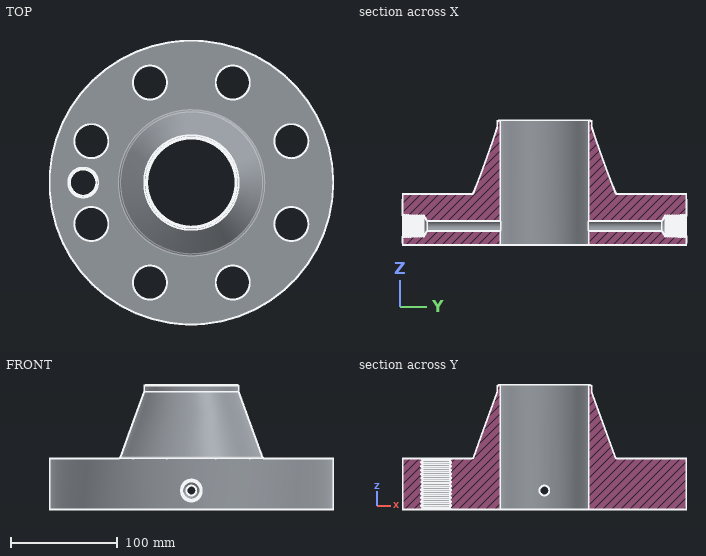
import cadquery as cq
import math

flange_diameter = 266.7
flange_thickness = 48.0

overall_height = 117.3
neck_radius = 44.5
bore_radius = 41.3
neck_straight_length = 7.0
hub_base_radius = 67.2
hub_fillet_radius = 2.1
weld_land_width = 1.3
weld_bevel_height = 1.0

bolt_circle_radius = 101.5
bolt_hole_diameter = 31.7
bolt_hole_count = 8

jack_major_radius = 14.1
jack_minor_radius = 12.3
jack_thread_turns = 13

tap_height = 18.0
tap_major_radius = 10.5
tap_thread_height = 1.3
tap_thread_depth = 20.0
tap_thread_turns = 11
tap_taper = 1 / 32
tap_bore_radius = 4.5
drill_point_half_angle = math.radians(59)


def flange_body():
    disc = cq.Workplane("XY").circle(flange_diameter / 2).extrude(flange_thickness)
    hub_outline = [
        (0, 0),
        (hub_base_radius, 0),
        (hub_base_radius, flange_thickness),
        (neck_radius, overall_height - neck_straight_length),
        (neck_radius, overall_height - weld_bevel_height),
        (bore_radius + weld_land_width, overall_height),
        (0, overall_height),
    ]
    hub = cq.Workplane("XZ").polyline(hub_outline).close().revolve(360, (0, 0), (0, 1))
    hub_foot = cq.selectors.RadiusNthSelector(-2)
    body = disc.union(hub).edges("%CIRCLE").edges(hub_foot).fillet(hub_fillet_radius)
    bore = cq.Workplane("XY").circle(bore_radius).extrude(overall_height)
    return body.cut(bore)


def bolt_holes():
    half_spacing = 180 / bolt_hole_count
    return (
        cq.Workplane("XY")
        .polarArray(bolt_circle_radius, half_spacing, 360, bolt_hole_count)
        .circle(bolt_hole_diameter / 2)
        .extrude(flange_thickness)
    )


def thread_outline(major_radius, minor_radius, depth, turns, taper):
    """Zigzag (radius, -depth) points of ring-shaped thread grooves, starting at the major radius."""
    pitch = depth / turns
    points = []
    for turn in range(turns):
        groove_depth = turn * pitch
        ridge_depth = groove_depth + pitch / 2
        points.append((major_radius - taper * groove_depth, -groove_depth))
        points.append((minor_radius - taper * ridge_depth, -ridge_depth))
    points.append((major_radius - taper * depth, -depth))
    return points


def revolved_cutter(outline, depth):
    """Solid of revolution that points down from the origin and ends at the given depth."""
    closed_outline = [(0, 0)] + outline + [(0, -depth)]
    return cq.Workplane("XZ").polyline(closed_outline).close().revolve(360, (0, 0), (0, 1))


def jack_screw_hole():
    outline = thread_outline(
        jack_major_radius, jack_minor_radius, flange_thickness, jack_thread_turns, 0
    )
    cutter = revolved_cutter(outline, flange_thickness)
    return cutter.translate((-bolt_circle_radius, 0, flange_thickness))


def pressure_tap():
    """Tap entering the rim from -Y and ending inside the main bore."""
    outline = thread_outline(
        tap_major_radius,
        tap_major_radius - tap_thread_height,
        tap_thread_depth,
        tap_thread_turns,
        tap_taper,
    )
    thread_end_radius = outline[-1][0]
    point_length = (thread_end_radius - tap_bore_radius) / math.tan(drill_point_half_angle)
    tap_length = flange_diameter / 2
    outline.append((tap_bore_radius, -tap_thread_depth - point_length))
    outline.append((tap_bore_radius, -tap_length))
    cutter = revolved_cutter(outline, tap_length)
    horizontal_cutter = cutter.rotate((0, 0, 0), (1, 0, 0), 90)
    return horizontal_cutter.translate((0, -flange_diameter / 2, tap_height))


result = flange_body().cut(bolt_holes()).cut(jack_screw_hole())
for side_angle in (0, 180):
    result = result.cut(pressure_tap().rotate((0, 0, 0), (0, 0, 1), side_angle))